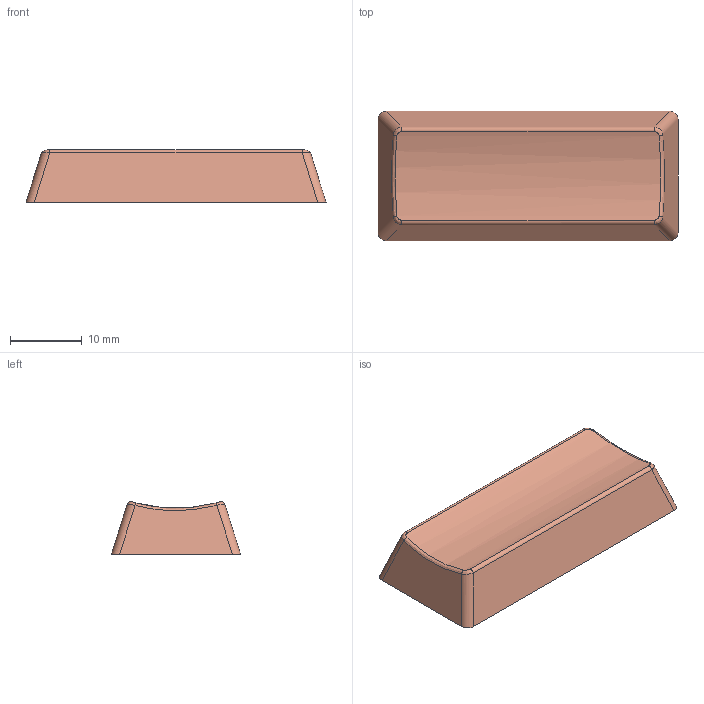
import cadquery as cq

base_length = 41.81
base_width = 18.0

draft_angle = 17.4
corner_radius = 1.2

dish_floor_height = 6.45
dish_radius = 22.0
rim_fillet_radius = 0.52

blank_height = 9.0


def tapered_blank():
    """Solid with four equally drafted walls and rounded corners."""
    blank = (
        cq.Workplane("XY")
        .rect(base_length, base_width)
        .extrude(blank_height, taper=draft_angle)
    )
    return blank.edges("not(#Z)").fillet(corner_radius)


def dish_cutter():
    """Cylinder along X whose lowest line is the floor of the dish."""
    return (
        cq.Workplane("YZ")
        .center(0, dish_floor_height + dish_radius)
        .circle(dish_radius)
        .extrude(base_length / 2, both=True)
    )


def dished_cap():
    """Blank with the dish cut in and the rim of the dish rounded over."""
    dished = tapered_blank().cut(dish_cutter())
    return dished.faces(">Z").edges().fillet(rim_fillet_radius)


result = dished_cap()